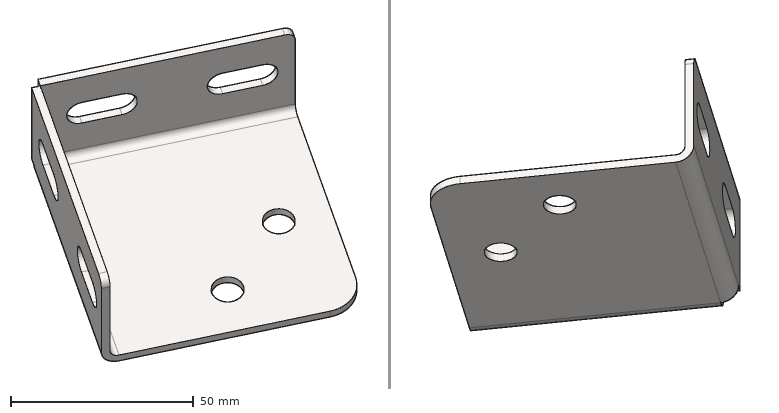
import cadquery as cq

side = 75.0
height = 35.0
thickness = 2.5
inner_bend_radius = 2.55
bend_radius = inner_bend_radius + thickness

wall_corner_radius = 3.0
base_corner_radius = 10.0

slot_length = 20.0
slot_width = 8.6
slot_positions = (20.0, 60.0)
slot_height = 20.0

hole_diameter = 9.0
hole_near = 40.0
hole_far = 60.0


def make_base():
    """Flat plate inside both bend lines, with one rounded corner and two holes."""
    flat = side - bend_radius
    plate = cq.Workplane("XY").box(flat, flat, thickness, centered=False)
    plate = plate.translate((bend_radius, bend_radius, 0))
    plate = plate.edges("|Z and >X and >Y").fillet(base_corner_radius)
    holes = (
        cq.Workplane("XY")
        .pushPoints([(hole_near, hole_far), (hole_far, hole_near)])
        .circle(hole_diameter / 2)
        .extrude(thickness)
    )
    return plate.cut(holes)


def make_bend():
    """Quarter-round bend joining the base to the wall along the X axis."""
    outer = cq.Workplane("YZ").center(bend_radius, bend_radius).circle(bend_radius)
    tube = outer.circle(inner_bend_radius).extrude(side - bend_radius)
    quarter = cq.Workplane("XY").box(side, bend_radius, bend_radius, centered=False)
    return tube.intersect(quarter).translate((bend_radius, 0, 0))


def make_wall():
    """Upright slotted wall along the X axis, above its bend."""
    wall = cq.Workplane("XY").box(
        side - thickness, thickness, height - bend_radius, centered=False
    )
    wall = wall.translate((thickness, 0, bend_radius))
    wall = wall.edges("|Y and >X and >Z").fillet(wall_corner_radius)
    slots = (
        cq.Workplane("XZ")
        .pushPoints([(x, slot_height) for x in slot_positions])
        .slot2D(slot_length, slot_width)
        .extrude(-thickness)
    )
    return wall.cut(slots)


front_flange = make_wall().union(make_bend())
left_flange = front_flange.mirror("YZ").rotate((0, 0, 0), (0, 0, 1), -90)

result = make_base().union(front_flange).union(left_flange)